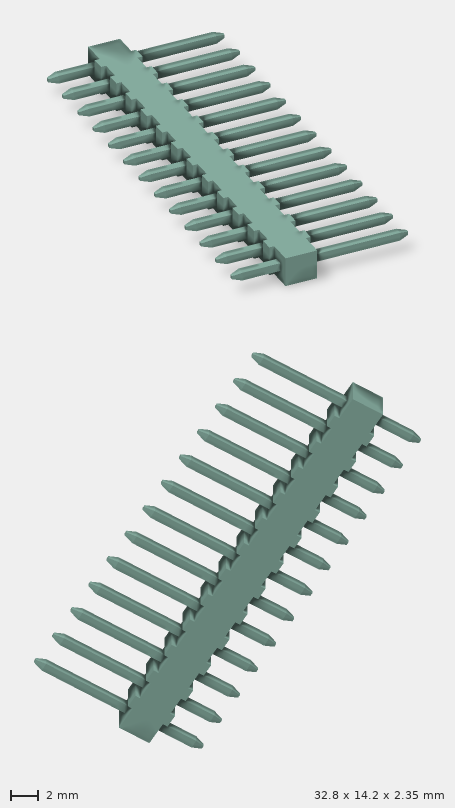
import cadquery as cq

LENGTH = 32.77
HEIGHT = 2.35
BODY_DEPTH = 2.55
RIB_DEPTH = 3.35
RIB_WIDTH = 1.05

PIN_COUNT = 13
END_MARGIN = 1.15
PIN_PITCH = (LENGTH - 2 * END_MARGIN) / (PIN_COUNT - 1)
PIN_SIZE = 0.65
TIP_SIZE = 0.25
TIP_LENGTH = 0.75
TOTAL_DEPTH = 14.22
FRONT_REACH = 3.85

FRONT_END = -BODY_DEPTH / 2 - FRONT_REACH
BACK_END = FRONT_END + TOTAL_DEPTH


def row_positions(count):
    """X positions of a centred row spaced at the pin pitch."""
    return [(i - (count - 1) / 2) * PIN_PITCH for i in range(count)]


def make_housing():
    """Plain bar with full-height ribs front and back, midway between pins."""
    housing = cq.Workplane("XY").box(LENGTH, BODY_DEPTH, HEIGHT)
    ribs = (
        cq.Workplane("XY")
        .pushPoints([(x, 0) for x in row_positions(PIN_COUNT - 1)])
        .box(RIB_WIDTH, RIB_DEPTH, HEIGHT)
    )
    return housing.union(ribs)


def make_tip(base_y, end_y, x):
    """Square taper from the full pin section down to the small end flat."""
    direction = 1 if end_y > base_y else -1
    base = cq.Plane(origin=(x, base_y, 0), xDir=(1, 0, 0), normal=(0, direction, 0))
    return (
        cq.Workplane(base)
        .rect(PIN_SIZE, PIN_SIZE)
        .workplane(offset=TIP_LENGTH)
        .rect(TIP_SIZE, TIP_SIZE)
        .loft(ruled=True)
    )


def make_pin(x):
    """Straight square pin through the housing, tapered at both ends."""
    shank_front = FRONT_END + TIP_LENGTH
    shank_back = BACK_END - TIP_LENGTH
    shank = (
        cq.Workplane("XY")
        .box(PIN_SIZE, shank_back - shank_front, PIN_SIZE)
        .translate((x, (shank_front + shank_back) / 2, 0))
    )
    front_tip = make_tip(shank_front, FRONT_END, x)
    back_tip = make_tip(shank_back, BACK_END, x)
    return shank.union(front_tip).union(back_tip)


result = make_housing()
for pin_x in row_positions(PIN_COUNT):
    result = result.union(make_pin(pin_x))